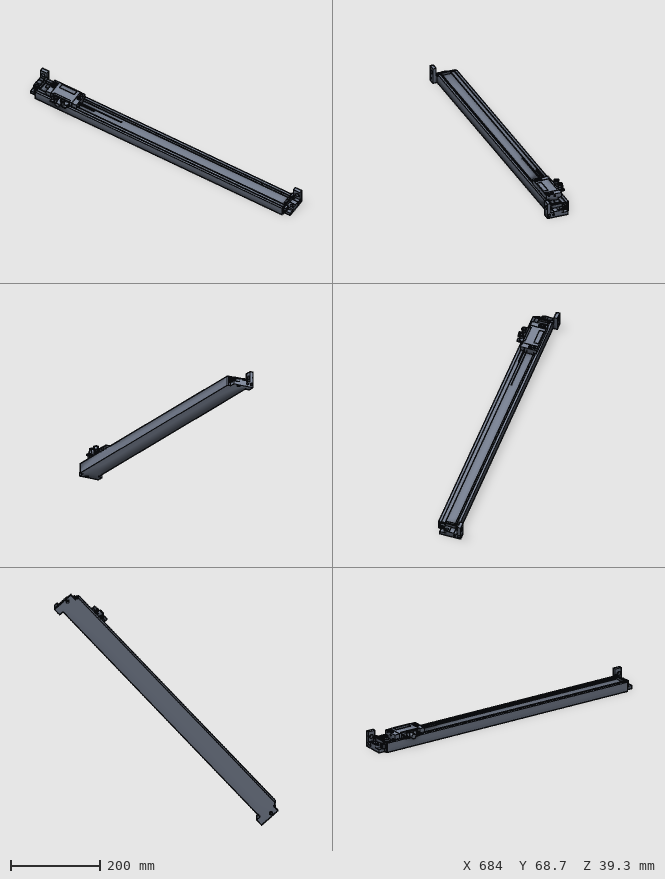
import cadquery as cq


total_length = 684.0
half_length = total_length / 2

rail_inset = 17.0
rail_width = 47.4
rail_height = 22.4
groove_width = 35.0
groove_floor_z = 20.4
channel_back_y = 13.4
channel_front_y = -9.3
channel_floor_z = 18.4
strip_length = 50.0
strip_centre_x = 274.0
strip_depth = 0.4

back_y = 34.0
post_thickness = 8.0
post_front_y = back_y - post_thickness

plate_outset = 15.0
plate_back_y = post_front_y
plate_front_y = -20.5
cap_inner = 20.8
cap_front_y = -7.5
cap_top_z = 23.8
key_front_y = 18.0
key_foot_outset = 12.5
key_foot_top_z = 19.2
lug_outset = 10.0
lug_back_y = -7.0
lug_front_y = -groove_width / 2
lug_bottom_z = 8.0
lug_top_z = 18.5
lug_bore_diameter = 5.0
lug_bore_depth = 3.0

bracket_length = rail_inset
post_height = 37.2
post_hole_x = 7.2
post_hole_z = 24.6
post_hole_diameter = 9.0
base_front_y = -15.5
step_z = 8.0
base_z = 14.2
ledge_z = 13.0
pad_z = 15.0
pad_half_width = 7.0
pad_corner_radius = 6.0
mount_hole_x = 6.4
mount_hole_diameter = 7.0
end_hole_y = 19.5
end_hole_z = 7.0
end_hole_diameter = 4.5
end_hole_depth = 6.0
post_end_hole_diameter = 6.4

carriage_centre_x = -260.5
carriage_length = 80.2
carriage_back_y = 20.1
carriage_front_y = -groove_width / 2
carriage_bottom_z = 23.4
carriage_top_z = 35.2
end_block_drop = 0.6
middle_length = 55.4
middle_setback = 0.4
window_length = 39.0
window_back_y = 18.0
window_front_y = 7.2
window_depth = 0.8
keel_clearance = 0.4
tongue_reach = 14.2
tongue_front_y = 3.0
tongue_top_z = 19.6
block_hole_spacing = 67.0
socket_y = 13.4
socket_size = 5.6
socket_depth = 3.0
screw_y = 4.0
screw_diameter = 8.0
screw_socket_diameter = 4.5
screw_recess = 1.5
side_hole_depth = 6.0
side_holes = ((13.0, 31.4, 2.4), (-0.8, 29.2, 4.0))

tail_thickness = 0.5
long_tail_length = 109.0
long_tail_y = -1.8
long_tail_bottom_z = 26.6
long_tail_top_z = 28.4
short_tail_length = 40.0
short_tail_y = -7.8
short_tail_bottom_z = 28.4
short_tail_top_z = 32.8
tail_hook = 2.0

clamp_length = 43.0
clamp_back_y = -12.9
clamp_front_y = -27.0
clamp_top_z = 31.0
clamp_lip_height = 0.4
clamp_corner = 4.0
ear_spacing = 32.5
ear_width = 8.5
ear_front_y = -32.2
ear_bottom_z = 26.0
ear_top_z = 29.0
knob_diameter = 11.4
knob_front_y = -34.65
knob_z = 28.2
bush_spacing = 18.0
bush_y = -25.5
bush_diameter = 8.2
bush_flange_diameter = 11.0
bush_flange_thickness = 1.2
bush_bore = 6.0
bush_top_z = 39.3


def block(x0, x1, y0, y1, z0, z1):
    """Box between two opposite corners, given in any order."""
    box = cq.Workplane("XY").box(abs(x1 - x0), abs(y1 - y0), abs(z1 - z0))
    return box.translate(((x0 + x1) / 2, (y0 + y1) / 2, (z0 + z1) / 2))


def upright(x, y, z0, z1, diameter):
    """Vertical cylinder."""
    return cq.Workplane("XY").workplane(offset=z0).center(x, y).circle(diameter / 2).extrude(z1 - z0)


def blind_bore(x, y, z, diameter, depth):
    """Cylinder running from a face at x towards +X."""
    return cq.Workplane("YZ", origin=(x, y, z)).circle(diameter / 2).extrude(depth)


def make_rail():
    end_x = half_length - rail_inset
    half_groove = groove_width / 2
    rail = block(-end_x, end_x, -rail_width / 2, rail_width / 2, 0, rail_height)
    groove = block(-end_x, end_x, -half_groove, half_groove, groove_floor_z, rail_height)
    channel = block(-end_x, end_x, channel_front_y, channel_back_y, channel_floor_z, rail_height)
    strip = block(
        strip_centre_x - strip_length / 2, strip_centre_x + strip_length / 2,
        channel_back_y, half_groove, groove_floor_z - strip_depth, groove_floor_z,
    )
    return rail.cut(groove).cut(channel).cut(strip)


def make_end_plate():
    """End plate at the -X end."""
    outer_x = plate_outset - half_length
    rail_end_x = rail_inset - half_length
    lug_x = lug_outset - half_length
    plate = block(outer_x, rail_end_x, plate_front_y, plate_back_y, 0, rail_height)
    cap = block(
        rail_end_x, cap_inner - half_length,
        cap_front_y, plate_back_y, channel_floor_z, cap_top_z,
    )
    key = block(outer_x, rail_end_x, key_front_y, plate_back_y, ledge_z, cap_top_z)
    key_foot = block(
        key_foot_outset - half_length, outer_x, key_front_y, plate_back_y, ledge_z, key_foot_top_z,
    )
    lug = block(lug_x, outer_x, lug_front_y, lug_back_y, lug_bottom_z, lug_top_z)
    lug_centre_y = (lug_back_y + lug_front_y) / 2
    lug_centre_z = (lug_bottom_z + lug_top_z) / 2
    lug_bore = blind_bore(lug_x, lug_centre_y, lug_centre_z, lug_bore_diameter, lug_bore_depth)
    lug = lug.cut(lug_bore)
    return plate.union(cap).union(key).union(key_foot).union(lug)


def make_bracket():
    """L-shaped mounting bracket at the -X end."""
    end_x = -half_length
    base_x = end_x + plate_outset
    post = block(end_x, end_x + bracket_length, post_front_y, back_y, 0, post_height)
    post_hole = (
        cq.Workplane("XZ", origin=(end_x + post_hole_x, back_y, post_hole_z))
        .circle(post_hole_diameter / 2)
        .extrude(post_thickness)
    )
    step = block(end_x, base_x, base_front_y, post_front_y, 0, step_z)
    base = block(end_x, base_x, pad_half_width, key_front_y, step_z, base_z)
    ledge = block(end_x, base_x, key_front_y, post_front_y, step_z, ledge_z)
    pad = block(end_x, base_x, -pad_half_width, pad_half_width, step_z, pad_z)
    pad = pad.edges("|Z and <X and <Y").fillet(pad_corner_radius)
    mount_hole = upright(end_x + mount_hole_x, 0, 0, pad_z, mount_hole_diameter)
    end_hole = blind_bore(end_x, end_hole_y, end_hole_z, end_hole_diameter, end_hole_depth)
    post_end_hole = blind_bore(
        end_x, back_y - post_thickness / 2, end_hole_z, post_end_hole_diameter, end_hole_depth,
    )
    bracket = post.cut(post_hole).union(step).union(ledge).union(base).union(pad)
    return bracket.cut(mount_hole).cut(end_hole).cut(post_end_hole)


def make_frame():
    left_end = make_end_plate().union(make_bracket())
    return make_rail().union(left_end).union(left_end.mirror("YZ"))


def make_slider():
    start_x = carriage_centre_x - carriage_length / 2
    end_x = carriage_centre_x + carriage_length / 2
    block_top_z = carriage_top_z - end_block_drop
    slider = block(start_x, end_x, carriage_front_y, carriage_back_y, carriage_bottom_z, block_top_z)
    middle_start_x = carriage_centre_x - middle_length / 2
    middle_end_x = carriage_centre_x + middle_length / 2
    middle_front_y = carriage_front_y + middle_setback
    slider = slider.union(block(
        middle_start_x, middle_end_x, carriage_front_y, carriage_back_y, carriage_bottom_z, carriage_top_z,
    ))
    slider = slider.cut(block(
        middle_start_x, middle_end_x, carriage_front_y, middle_front_y, carriage_bottom_z, carriage_top_z,
    ))
    slider = slider.cut(block(
        carriage_centre_x - window_length / 2, carriage_centre_x + window_length / 2,
        window_front_y, window_back_y, carriage_top_z - window_depth, carriage_top_z,
    ))
    for side in (-1, 1):
        x = carriage_centre_x + side * block_hole_spacing / 2
        half_socket = socket_size / 2
        slider = slider.cut(block(
            x - half_socket, x + half_socket, socket_y - half_socket, socket_y + half_socket,
            block_top_z - socket_depth, block_top_z,
        ))
        slider = slider.cut(upright(x, screw_y, block_top_z - screw_recess, block_top_z, screw_diameter))
        slider = slider.cut(upright(
            x, screw_y, block_top_z - screw_recess - socket_depth, block_top_z, screw_socket_diameter,
        ))
    for y, z, diameter in side_holes:
        slider = slider.cut(blind_bore(start_x, y, z, diameter, side_hole_depth))
    return slider


def make_keel():
    """Runner in the rail channel, with a tongue reaching towards -X."""
    start_x = carriage_centre_x - carriage_length / 2
    end_x = carriage_centre_x + carriage_length / 2
    keel_back_y = channel_back_y - keel_clearance
    keel = block(
        start_x, end_x, channel_front_y + keel_clearance, keel_back_y, channel_floor_z, carriage_bottom_z,
    )
    tongue = block(
        start_x - tongue_reach, start_x, tongue_front_y, keel_back_y, channel_floor_z, tongue_top_z,
    )
    return keel.union(tongue)


def make_tail(length, y, bottom_z, top_z):
    """Thin upright blade behind the slider, with its tip bent towards +Y."""
    start_x = carriage_centre_x + carriage_length / 2
    tip_x = start_x + length
    blade = block(start_x, tip_x, y, y + tail_thickness, bottom_z, top_z)
    return blade.union(block(tip_x - tail_thickness, tip_x, y, y + tail_hook, bottom_z, top_z))


def make_clamp():
    half_clamp = clamp_length / 2
    clamp = block(
        carriage_centre_x - half_clamp, carriage_centre_x + half_clamp,
        clamp_front_y, clamp_back_y, carriage_bottom_z, clamp_top_z,
    )
    clamp = clamp.edges("|Z and <Y").chamfer(clamp_corner)
    lip = block(
        carriage_centre_x - half_clamp, carriage_centre_x + half_clamp,
        carriage_front_y, clamp_back_y, carriage_bottom_z, carriage_top_z + clamp_lip_height,
    )
    clamp = clamp.union(lip)
    knob = (
        cq.Workplane("XZ", origin=(carriage_centre_x, carriage_front_y, knob_z))
        .circle(knob_diameter / 2)
        .extrude(carriage_front_y - knob_front_y)
    )
    clamp = clamp.union(knob)
    for side in (-1, 1):
        ear_x = carriage_centre_x + side * ear_spacing / 2
        clamp = clamp.union(block(
            ear_x - ear_width / 2, ear_x + ear_width / 2,
            ear_front_y, carriage_front_y, ear_bottom_z, ear_top_z,
        ))
    for side in (-1, 1):
        bush_x = carriage_centre_x + side * bush_spacing / 2
        flange_z = bush_top_z - bush_flange_thickness
        clamp = clamp.union(upright(bush_x, bush_y, carriage_bottom_z, bush_top_z, bush_diameter))
        clamp = clamp.union(upright(bush_x, bush_y, flange_z, bush_top_z, bush_flange_diameter))
        clamp = clamp.cut(upright(bush_x, bush_y, 0, bush_top_z, bush_bore))
    return clamp


def make_carriage():
    long_tail = make_tail(long_tail_length, long_tail_y, long_tail_bottom_z, long_tail_top_z)
    short_tail = make_tail(short_tail_length, short_tail_y, short_tail_bottom_z, short_tail_top_z)
    return make_slider().union(make_keel()).union(make_clamp()).union(long_tail).union(short_tail)


frame = make_frame()
carriage = make_carriage()

result = cq.Compound.makeCompound([frame.val(), carriage.val()])